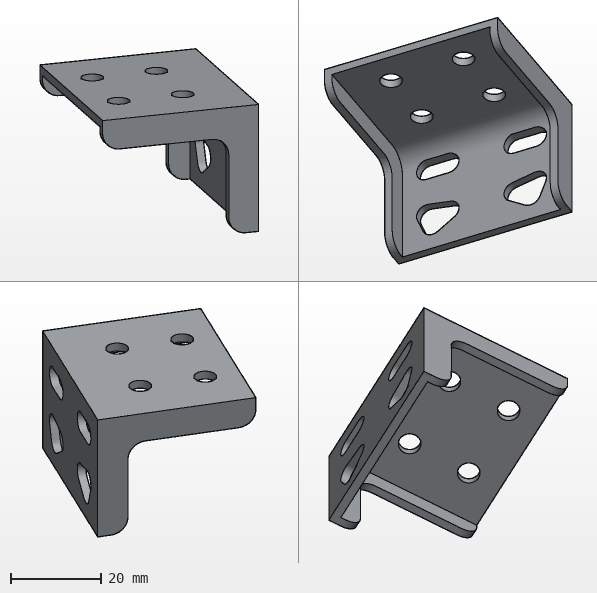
import cadquery as cq

width = 43.0
depth = 36.5
height = 29.5

plate_thickness = 2.0
flange_thickness = 1.9
flange_depth = 7.0
flange_radius = 4.0
bend_radius = 5.0

hole_diameter = 5.0
hole_spacing_x = 18.0
hole_spacing_y = 15.0
hole_row_from_back = 13.5

opening_radius = 2.5
opening_outer_x = 13.6
opening_inner_x = 8.1
slot_drop = 7.6
triangle_outer_drop = 19.6
triangle_inner_drop = 20.6
triangle_bottom_x = 12.15
triangle_bottom_drop = 23.2
opening_cut_depth = plate_thickness + bend_radius

back_y = depth / 2
front_y = -depth / 2
top_z = height / 2
bottom_z = -height / 2


def l_profile(leg, x_start):
    """L-shaped outline with legs of the given width, on a YZ plane at x_start."""
    return (
        cq.Workplane("YZ", origin=(x_start, 0, 0))
        .moveTo(back_y, top_z)
        .lineTo(front_y, top_z)
        .lineTo(front_y, top_z - leg)
        .lineTo(back_y - leg, top_z - leg)
        .lineTo(back_y - leg, bottom_z)
        .lineTo(back_y, bottom_z)
        .close()
    )


def make_bracket():
    """Shelf and wall joined by a rounded inside bend."""
    bracket = l_profile(plate_thickness, -width / 2).extrude(width)
    corner_point = (0, back_y - plate_thickness, top_z - plate_thickness)
    inside_corner = cq.selectors.NearestToPointSelector(corner_point)
    return bracket.edges(inside_corner).fillet(bend_radius)


def make_flange(x_start):
    """L-shaped end flange with rounded leg tips and inner corner."""
    flange = l_profile(flange_depth, x_start).extrude(flange_thickness)
    rounded_corners = (
        (front_y, top_z - flange_depth),
        (back_y - flange_depth, top_z - flange_depth),
        (back_y - flange_depth, bottom_z),
    )
    for y, z in rounded_corners:
        corner = cq.selectors.NearestToPointSelector((x_start + flange_thickness / 2, y, z))
        flange = flange.edges(corner).fillet(flange_radius)
    return flange


def make_shelf_holes():
    """Cutters for the two by two pattern of round shelf holes."""
    pattern_centre_y = back_y - hole_row_from_back - hole_spacing_y / 2
    return (
        cq.Workplane("XY", origin=(0, pattern_centre_y, top_z))
        .rarray(hole_spacing_x, hole_spacing_y, 2, 2)
        .circle(hole_diameter / 2)
        .extrude(-flange_depth)
    )


def wall_back_plane():
    """Workplane on the back face of the wall, facing the front."""
    return cq.Workplane("XZ", origin=(0, back_y, 0))


def make_slot():
    """Cutter for the horizontal slot on the +X side, deep enough to clear the bend it crosses."""
    slot_length = opening_outer_x - opening_inner_x + 2 * opening_radius
    slot_x = (opening_outer_x + opening_inner_x) / 2
    return (
        wall_back_plane()
        .center(slot_x, top_z - slot_drop)
        .slot2D(slot_length, 2 * opening_radius)
        .extrude(opening_cut_depth)
    )


def make_triangle():
    """Cutter for the rounded triangle on the +X side: its corner centres joined and grown by the radius."""
    corner_centres = [
        (opening_outer_x, top_z - triangle_outer_drop),
        (opening_inner_x, top_z - triangle_inner_drop),
        (triangle_bottom_x, top_z - triangle_bottom_drop),
    ]
    return (
        wall_back_plane()
        .polyline(corner_centres)
        .close()
        .offset2D(opening_radius, "arc")
        .extrude(opening_cut_depth)
    )


result = make_bracket()
for flange_start in (-width / 2, width / 2 - flange_thickness):
    result = result.union(make_flange(flange_start))
result = result.cut(make_shelf_holes())
for opening in (make_slot(), make_triangle()):
    result = result.cut(opening).cut(opening.mirror("YZ"))